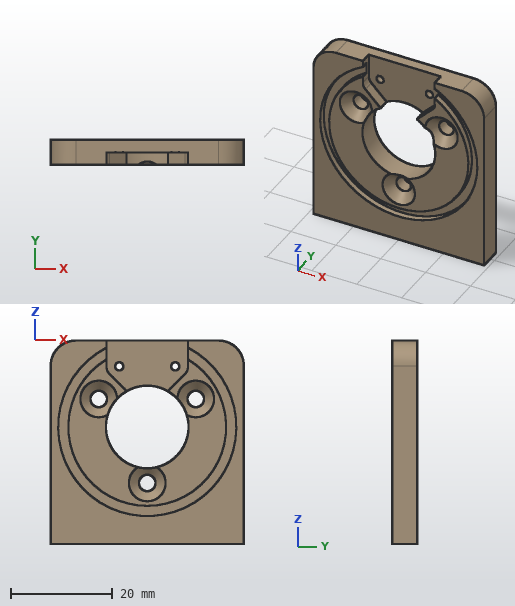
import cadquery as cq

width = 38.0
height = 40.0
thickness = 5.0
corner_radius = 5.0

bore_diameter = 16.2
bore_z = 23.0
groove_outer_diameter = 35.0
groove_inner_diameter = 31.0
groove_depth = 1.5

screw_count = 3
screw_circle_radius = 11.0
screw_hole_diameter = 3.2
countersink_diameter = 7.2
countersink_angle = 90.0
first_screw_angle = -90.0

pocket_width = 16.0
pocket_depth = 2.5
pocket_shoulder_z = 34.0
pocket_corner_radius = 2.0

pin_hole_diameter = 1.57
pin_hole_spacing = 11.0
pin_hole_z = 34.9


def front_plane():
    """Sketch plane on the front face: local x = X, local y = Z; negative extrusions go into the plate."""
    return cq.Workplane("XZ")


def make_plate():
    plate = front_plane().center(0, height / 2).rect(width, height).extrude(-thickness)
    return plate.edges("|Y and >Z").fillet(corner_radius)


def make_bore():
    return front_plane().center(0, bore_z).circle(bore_diameter / 2).extrude(-thickness)


def make_ring_groove():
    ring = front_plane().center(0, bore_z).circle(groove_outer_diameter / 2)
    return ring.circle(groove_inner_diameter / 2).extrude(-groove_depth)


def make_pocket():
    half_width = pocket_width / 2
    tip_z = pocket_shoulder_z - half_width
    outline = [
        (-half_width, height),
        (-half_width, pocket_shoulder_z),
        (0, tip_z),
        (half_width, pocket_shoulder_z),
        (half_width, height),
    ]
    pocket = front_plane().polyline(outline).close().extrude(-pocket_depth)
    shoulder_edges = pocket.edges("|Y").edges("<X or >X").edges("not >Z")
    return shoulder_edges.fillet(pocket_corner_radius)


def drill_screw_holes(body):
    return (
        body.copyWorkplane(front_plane().center(0, bore_z))
        .polarArray(screw_circle_radius, first_screw_angle, 360, screw_count)
        .cskHole(screw_hole_diameter, countersink_diameter, countersink_angle)
    )


def make_pin_holes():
    centres = [(-pin_hole_spacing / 2, 0), (pin_hole_spacing / 2, 0)]
    pins = front_plane().center(0, pin_hole_z).pushPoints(centres)
    return pins.circle(pin_hole_diameter / 2).extrude(-thickness)


body = make_plate().cut(make_ring_groove()).cut(make_pocket())
body = drill_screw_holes(body)
result = body.cut(make_bore()).cut(make_pin_holes())